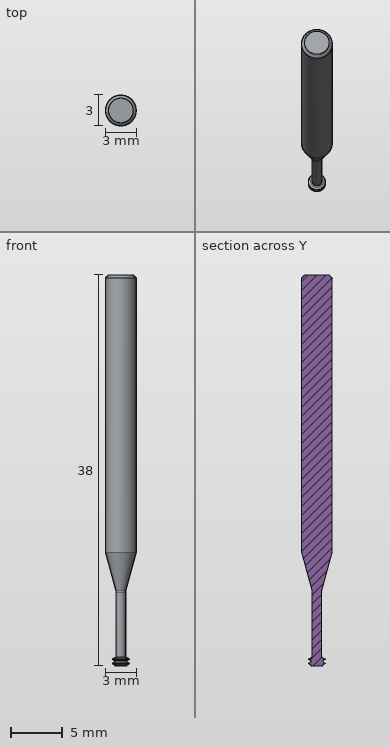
import cadquery as cq

total_length = 38.0
shank_diameter = 3.0
neck_diameter = 0.95
tooth_diameter = 1.67
root_diameter = 1.2
tip_diameter = 1.15

chamfer_width = 0.3
chamfer_height = 0.3

taper_top = 11.05
taper_bottom = 7.37
blend_height = 0.2
taper_end_diameter = 1.0

tooth_count = 2
tooth_pitch = 0.4
first_tooth_height = 0.25
tooth_base_width = 0.25
crest_width = 0.05
head_height = 0.87

shank_radius = shank_diameter / 2
neck_radius = neck_diameter / 2
tooth_radius = tooth_diameter / 2
root_radius = root_diameter / 2


def shank_and_neck():
    """Revolved shank, taper and neck, with the tip at Z = 0."""
    outline = [
        (0, 0),
        (neck_radius, 0),
        (neck_radius, taper_bottom - blend_height),
        (taper_end_diameter / 2, taper_bottom),
        (shank_radius, taper_top),
        (shank_radius, total_length - chamfer_height),
        (shank_radius - chamfer_width, total_length),
        (0, total_length),
    ]
    return cq.Workplane("XZ").polyline(outline).close().revolve(360, (0, 0), (0, 1))


def cutting_head():
    """Revolved head with flat-crested ring teeth on a cylindrical root."""
    outline = [(0, 0), (tip_diameter / 2, 0)]
    for index in range(tooth_count):
        center = first_tooth_height + index * tooth_pitch
        outline += [
            (root_radius, center - tooth_base_width / 2),
            (tooth_radius, center - crest_width / 2),
            (tooth_radius, center + crest_width / 2),
            (root_radius, center + tooth_base_width / 2),
        ]
    outline += [(neck_radius, head_height), (0, head_height)]
    return cq.Workplane("XZ").polyline(outline).close().revolve(360, (0, 0), (0, 1))


result = shank_and_neck().union(cutting_head())